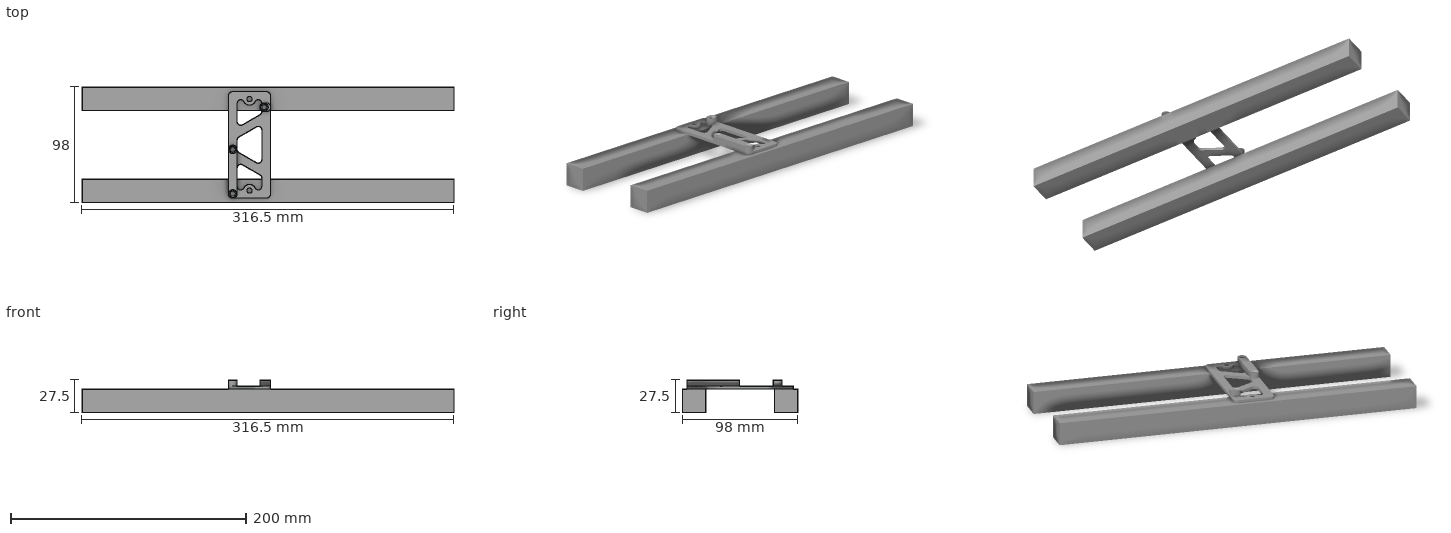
import cadquery as cq
import math

RAIL_LENGTH = 316.5
RAIL_SIZE = 20.0
OVERALL_WIDTH = 98.0
RAIL_Y = (OVERALL_WIDTH - RAIL_SIZE) / 2

PLATE_X = -15.8
PLATE_WIDTH = 36.0
PLATE_LENGTH = 90.5
PLATE_THICKNESS = 2.5
BORDER = 7.5
CORNER_RADIUS = BORDER / 2
BRACE_CENTER_Y = 16.0
BRACE_SLOPE = math.tan(math.radians(30))
BRACE_HALF_RISE = BORDER / 2 / math.cos(math.radians(30))
WINDOW_HALF = PLATE_WIDTH / 2 - BORDER
WINDOW_RADIUS = 3.0

SCREW_DIAMETER = 4.5
SCREW_Y = 39.0
LUG_RADIUS = SCREW_DIAMETER / 2 + WINDOW_RADIUS

STANDOFF_TOP = 7.5
COLUMN_X = PLATE_WIDTH / 2 - CORNER_RADIUS
CORNER_Y = -(PLATE_LENGTH / 2 - CORNER_RADIUS)
MIDDLE_Y = -4.0
SIDE_POST_X = 12.7
SIDE_POST_Y = 32.0
POST_HOLE_DIAMETER = 4.5
COUNTERSINK_DIAMETER = 6.5
COUNTERSINK_DEPTH = (COUNTERSINK_DIAMETER - POST_HOLE_DIAMETER) / 2


def make_rail(center_y):
    rail = cq.Workplane("XY").box(RAIL_LENGTH, RAIL_SIZE, RAIL_SIZE, centered=(True, True, False))
    return rail.translate((0, center_y, 0))


def brace_y(x, side):
    """Height of a brace's upper (side=1) or lower (side=-1) edge at x."""
    return BRACE_CENTER_Y + BRACE_SLOPE * x + side * BRACE_HALF_RISE


def middle_window():
    low = brace_y(-WINDOW_HALF, -1)
    high = brace_y(WINDOW_HALF, -1)
    outline = [(-WINDOW_HALF, -low), (WINDOW_HALF, -high), (WINDOW_HALF, high), (-WINDOW_HALF, low)]
    window = cq.Workplane("XY").polyline(outline).close().extrude(PLATE_THICKNESS)
    return window.edges("|Z").fillet(WINDOW_RADIUS)


def end_window():
    """Window beyond the +Y brace, whose outer side curves around the screw lug."""
    lobe_x = WINDOW_HALF - WINDOW_RADIUS
    center_distance = LUG_RADIUS + WINDOW_RADIUS
    lobe_drop = math.sqrt(center_distance**2 - lobe_x**2)
    lobe_y = SCREW_Y - lobe_drop
    lobe_top = lobe_y + WINDOW_RADIUS
    tangent_x = lobe_x * LUG_RADIUS / center_distance
    tangent_y = SCREW_Y - lobe_drop * LUG_RADIUS / center_distance
    window = (
        cq.Workplane("XY")
        .moveTo(-WINDOW_HALF, brace_y(-WINDOW_HALF, 1))
        .lineTo(-WINDOW_HALF, lobe_y)
        .threePointArc((-lobe_x, lobe_top), (-tangent_x, tangent_y))
        .threePointArc((0, SCREW_Y - LUG_RADIUS), (tangent_x, tangent_y))
        .threePointArc((lobe_x, lobe_top), (WINDOW_HALF, lobe_y))
        .lineTo(WINDOW_HALF, brace_y(WINDOW_HALF, 1))
        .close()
        .extrude(PLATE_THICKNESS)
    )
    brace_corners = cq.selectors.BoxSelector(
        (-PLATE_WIDTH, 0, -PLATE_THICKNESS),
        (PLATE_WIDTH, brace_y(WINDOW_HALF, 1) + WINDOW_RADIUS / 2, 2 * PLATE_THICKNESS),
    )
    return window.edges("|Z").edges(brace_corners).fillet(WINDOW_RADIUS)


def make_plate():
    plate = cq.Workplane("XY").box(
        PLATE_WIDTH, PLATE_LENGTH, PLATE_THICKNESS, centered=(True, True, False)
    )
    plate = plate.edges("|Z").fillet(CORNER_RADIUS)
    window = end_window()
    plate = plate.cut(middle_window()).cut(window).cut(window.mirror("XZ"))
    screw_holes = (
        cq.Workplane("XY")
        .pushPoints([(0, SCREW_Y), (0, -SCREW_Y)])
        .circle(SCREW_DIAMETER / 2)
        .extrude(PLATE_THICKNESS)
    )
    return plate.cut(screw_holes)


def rounded_wall(start, end):
    """Full-height wall with round ends, centered on the points start and end."""
    run_x = end[0] - start[0]
    run_y = end[1] - start[1]
    return (
        cq.Workplane("XY")
        .center((start[0] + end[0]) / 2, (start[1] + end[1]) / 2)
        .slot2D(math.hypot(run_x, run_y) + BORDER, BORDER, math.degrees(math.atan2(run_y, run_x)))
        .extrude(STANDOFF_TOP)
    )


def post_hole(center):
    """Countersunk blind hole, from the post top down to the level of the plate's upper face."""
    bore = (
        cq.Workplane("XY", origin=(*center, PLATE_THICKNESS))
        .circle(POST_HOLE_DIAMETER / 2)
        .extrude(STANDOFF_TOP - PLATE_THICKNESS)
    )
    countersink = cq.Workplane("XY").add(
        cq.Solid.makeCone(
            POST_HOLE_DIAMETER / 2,
            COUNTERSINK_DIAMETER / 2,
            COUNTERSINK_DEPTH,
            pnt=cq.Vector(*center, STANDOFF_TOP - COUNTERSINK_DEPTH),
        )
    )
    return bore.union(countersink)


def make_bracket():
    corner_post = (-COLUMN_X, CORNER_Y)
    middle_post = (-COLUMN_X, MIDDLE_Y)
    side_post = (SIDE_POST_X, SIDE_POST_Y)
    bracket = make_plate()
    bracket = bracket.union(rounded_wall(corner_post, middle_post))
    bracket = bracket.union(rounded_wall(side_post, (COLUMN_X, SIDE_POST_Y)))
    for post in (corner_post, middle_post, side_post):
        bracket = bracket.cut(post_hole(post))
    return bracket.translate((PLATE_X, 0, RAIL_SIZE))


rails = [make_rail(y) for y in (-RAIL_Y, RAIL_Y)]
bracket = make_bracket()

result = cq.Compound.makeCompound([*[rail.val() for rail in rails], bracket.val()])